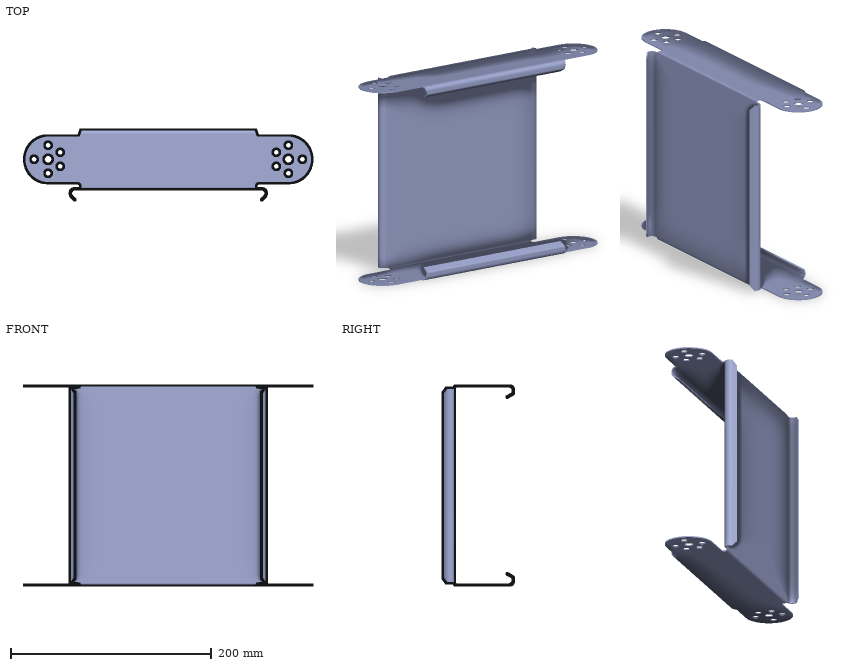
import cadquery as cq
import math


thickness = 1.25
height = 200.0
top_z = height / 2

hook_half_width = 98.5
hook_radius = 5.25
hook_sweep = 135.0
hook_straight = 5.0
hook_chamfer = hook_straight
web_half_width = hook_half_width - hook_radius

flange_depth = 60.0
web_bend_radius = 2.25
web_bend_angle = 90.0
hook_top_gap = web_bend_radius
hook_top_z = top_z - hook_top_gap
tab_radius = 24.0
tab_center_x = 120.0
tab_center_y = flange_depth / 2
tab_front_y = tab_center_y - tab_radius
tab_back_y = tab_center_y + tab_radius

relief_radius = tab_front_y / 2
relief_center_x = 91.0
relief_center_y = tab_front_y / 2

center_hole_diameter = 9.0
bolt_hole_diameter = 7.0
bolt_circle_radius = 14.0
bolt_hole_angles = (-90, -30, 30, 90, 180)

lip_half_width = 89.5
lip_end_half_width = 87.5
lip_tip_half_width = 85.5
lip_bend_radius = 4.75
lip_bend_angle = 90.0
lip_return_radius = 2.25
lip_return_angle = 60.0
lip_return_straight = 6.5
lip_height = 12.5


def strip_profile(workplane, start, heading, moves):
    """Closed outline of a bent sheet whose outer (left-hand) side starts at `start`.

    Each move is (length, 0) for a straight or (outer radius, angle) for a clockwise bend.
    Headings and angles are in degrees.
    """
    u, v = start
    outer = []
    inner = []

    def on_circle(center, radius, angle):
        a = math.radians(angle)
        return (center[0] + radius * math.cos(a), center[1] + radius * math.sin(a))

    def inner_point():
        return on_circle((u, v), thickness, heading - 90)

    inner_start = inner_point()
    for size, bend in moves:
        if bend == 0:
            u, v = on_circle((u, v), size, heading)
            outer.append((None, (u, v)))
            inner.append((None, inner_point()))
            continue
        center = on_circle((u, v), size, heading - 90)
        middle_angle = heading + 90 - bend / 2
        heading -= bend
        u, v = on_circle(center, size, heading + 90)
        outer.append((on_circle(center, size, middle_angle), (u, v)))
        inner.append((on_circle(center, size - thickness, middle_angle), inner_point()))

    outline = workplane.moveTo(*start)
    for middle, end in outer:
        outline = outline.threePointArc(middle, end) if middle else outline.lineTo(*end)
    outline = outline.lineTo(*inner[-1][1])
    inner_ends = [inner_start] + [end for _, end in inner[:-1]]
    for (middle, _), end in zip(reversed(inner), reversed(inner_ends)):
        outline = outline.threePointArc(middle, end) if middle else outline.lineTo(*end)
    return outline.close()


def both_sides(solid, plane):
    return solid.union(solid.mirror(plane))


def make_web():
    """Web with a hook along each side; the hook tips have cut corners."""
    moves = [(web_half_width, 0), (hook_radius, hook_sweep), (hook_straight, 0)]
    half = strip_profile(cq.Workplane("XY"), (0, thickness), 0, moves)
    half = half.extrude(hook_top_z, both=True)

    out_angle = math.radians(90 - hook_sweep)
    outward = cq.Vector(math.cos(out_angle), math.sin(out_angle), 0)
    toward_curl = cq.Vector(-math.sin(out_angle), math.cos(out_angle), 0)
    curl_center = cq.Vector(web_half_width, thickness - hook_radius, 0)
    tip = curl_center + outward * hook_radius - toward_curl * hook_straight

    corner = (
        cq.Workplane(cq.Plane(origin=tip, xDir=toward_curl, normal=outward))
        .moveTo(0, hook_top_z)
        .lineTo(hook_chamfer, hook_top_z)
        .lineTo(0, hook_top_z - hook_chamfer)
        .close()
        .extrude(-thickness)
    )
    return both_sides(half.cut(both_sides(corner, "XY")), "YZ")


def make_bent_flange():
    """Flange between the tabs, with its bend into the web and its stiffening lip."""
    return_angle = math.radians(lip_return_angle)
    lip_upright = (
        lip_height
        - lip_bend_radius
        - lip_return_radius * math.sin(return_angle)
        - lip_return_straight * math.cos(return_angle)
    )
    moves = [
        (web_bend_radius, web_bend_angle),
        (flange_depth - web_bend_radius - lip_bend_radius, 0),
        (lip_bend_radius, lip_bend_angle),
        (lip_upright, 0),
        (lip_return_radius, lip_return_angle),
        (lip_return_straight, 0),
    ]
    strip = strip_profile(cq.Workplane("YZ"), (0, top_z - web_bend_radius), 90, moves)
    strip = strip.extrude(web_half_width, both=True)

    half_plan = (
        cq.Workplane("XY")
        .lineTo(web_half_width, 0)
        .lineTo(web_half_width, tab_center_y)
        .lineTo(lip_half_width, tab_center_y)
        .lineTo(lip_half_width, tab_back_y)
        .lineTo(lip_end_half_width, flange_depth)
        .lineTo(0, flange_depth)
        .close()
        .extrude(top_z)
    )
    lip_end_trim = (
        cq.Workplane("XZ", origin=(0, tab_center_y, 0))
        .moveTo(web_half_width, top_z - lip_bend_radius)
        .lineTo(lip_end_half_width, top_z - lip_bend_radius)
        .lineTo(lip_tip_half_width, top_z - lip_height)
        .lineTo(web_half_width, top_z - lip_height)
        .close()
        .extrude(tab_center_y - flange_depth)
    )
    return strip.intersect(both_sides(half_plan, "YZ")).cut(both_sides(lip_end_trim, "YZ"))


def make_tabs():
    """Flat plate with a rounded tab at each end."""
    return (
        cq.Workplane("XY", origin=(0, tab_center_y, top_z - thickness))
        .slot2D(2 * (tab_center_x + tab_radius), 2 * tab_radius)
        .extrude(thickness)
    )


def make_tab_holes():
    """Centre hole and surrounding bolt holes of the right-hand tab."""
    base = cq.Workplane("XY", origin=(tab_center_x, tab_center_y, top_z - thickness))
    bolt_points = []
    for angle in bolt_hole_angles:
        a = math.radians(angle)
        bolt_points.append((-bolt_circle_radius * math.cos(a), bolt_circle_radius * math.sin(a)))
    holes = base.circle(center_hole_diameter / 2).extrude(thickness)
    return holes.union(base.pushPoints(bolt_points).circle(bolt_hole_diameter / 2).extrude(thickness))


def make_relief():
    """Slot that frees the right-hand tab from the web and hook."""
    slot_length = tab_center_x - relief_center_x
    base = cq.Workplane("XY", origin=(relief_center_x, relief_center_y, hook_top_z))
    round_end = base.circle(relief_radius).extrude(hook_top_gap)
    straight = base.center(slot_length / 2, 0).rect(slot_length, 2 * relief_radius).extrude(hook_top_gap)
    return round_end.union(straight)


flange = make_bent_flange().union(make_tabs())
flange = flange.cut(both_sides(make_tab_holes(), "YZ")).cut(both_sides(make_relief(), "YZ"))

result = make_web().union(both_sides(flange, "XY"))